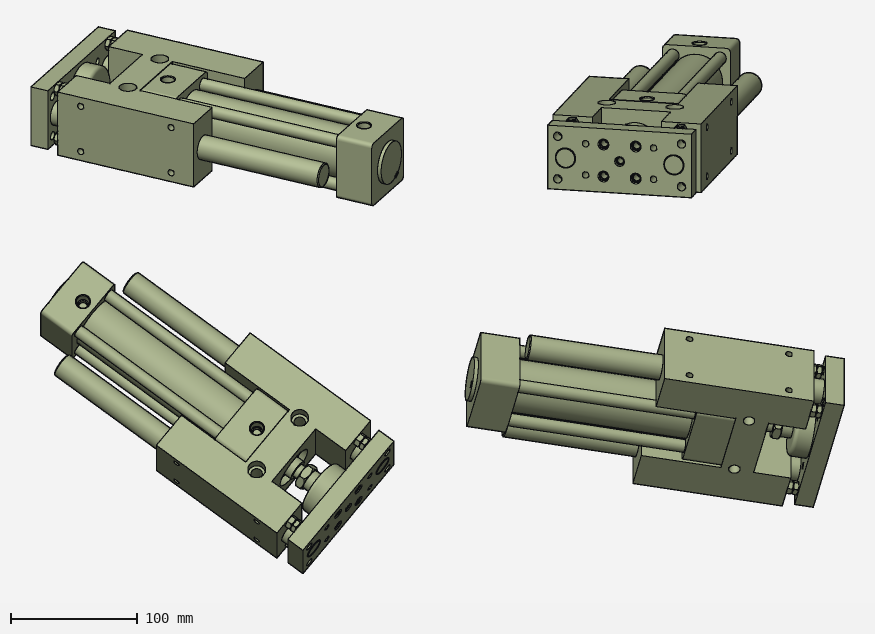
import cadquery as cq
import math


PLATE_THICK = 15.0
PLATE_WIDTH = 116.5
PLATE_HEIGHT = 52.0
CORNER_HOLE_DIA = 6.7
CORNER_HOLE_Y = 50.2
CORNER_HOLE_Z = 17.5
SMALL_HOLE_DIA = 5.2
SMALL_HOLE_Y = 27.5
SMALL_HOLE_Z = 12.8
TAPPED_PITCH = 26.0
TAPPED_DEPTH = 3.5
OUTER_MOUTH_DIA = 8.7
OUTER_THREAD_DIA = 7.0
OUTER_DRILL_DIA = 5.5
CENTRE_MOUTH_DIA = 7.8
CENTRE_THREAD_DIA = 6.0
CENTRE_DRILL_DIA = 5.0
ROD_SEAT_DIA = 16.2
ROD_SEAT_CHAMFER = 0.5

COUPLING_DIA = 45.0
COUPLING_END = 30.0
COUPLING_ROUND = 3.2
ROD_DIA = 17.0
THREAD_DIA = 12.0
LOCKNUT_START = 38.5
LOCKNUT_END = 45.5
LOCKNUT_FLATS = 19.0
ROD_START = 50.8

GUIDE_DIA = 20.0
GUIDE_SPACING = 88.0
GUIDE_Y = GUIDE_SPACING / 2
GUIDE_END = 252.0
GUIDE_CHAMFER = 1.0

BLOCK_START = 24.6
BLOCK_END = 145.0
BLOCK_WIDTH = 120.0
BLOCK_HEIGHT = 56.0
SLOT_WIDTH = 56.0
WEB_START = 54.5
WEB_END = 81.0
NOSE_DIA = 35.0
NOSE_RECESS = 5.8
MOUNT_X = 70.2
MOUNT_PITCH = 55.0
MOUNT_DIA = 9.0
MOUNT_BORE_DIA = 14.0
MOUNT_BORE_DEPTH = 10.2
SIDE_HOLE_DIA = 5.2
SIDE_HOLE_DEPTH = 7.2
SIDE_HOLE_XS = (45.0, 125.0)
SIDE_HOLE_Z = 20.0

STOP_Z = 21.8
STOP_FLATS = 10.0
STOP_START = 15.7
STOP_HEAD_END = 19.7
STOP_NUT_START = 20.0
STOP_NECK_DIA = 6.7

HEAD_SIZE = 55.0
HEAD_LENGTH = 31.3
HEAD_ROUND = 3.5
REAR_HEAD_START = 254.5
TUBE_DIA = 42.3
TIE_ROD_DIA = 10.2
TIE_ROD_OFFSET = 19.0
PORT_INSET = 10.5
PORT_MOUTH_DIA = 12.0
PORT_THREAD_DIA = 10.5
PORT_THREAD_END_DIA = 9.0
PORT_THREAD_DEPTH = 7.2
PORT_DRILL_DIA = 7.0
PORT_DEPTH = 11.5
REAR_BOSS_END = 289.0
TAB_END = 290.0
TAB_LENGTH = 5.2
TAB_WIDTH = 1.2
TAB_RADIUS = 16.5
TAB_ANGLE = -60

CORNER_SIGNS = [(sy, sz) for sy in (-1, 1) for sz in (-1, 1)]


def block(x_start, x_end, width, height):
    """Box centred on the X axis."""
    box = cq.Workplane("XY").box(x_end - x_start, width, height, centered=(False, True, True))
    return box.translate((x_start, 0, 0))


def rod(x_start, x_end, dia, y=0, z=0):
    """Cylinder along X."""
    return cq.Workplane("YZ", origin=(x_start, y, z)).circle(dia / 2).extrude(x_end - x_start)


def threaded_bore(mouth_dia, thread_dia, thread_end_dia, thread_depth, drill_dia, depth):
    """Cutter that runs down from Z = 0: a 45 degree mouth, a thread that may taper, and a drilled core."""
    mouth_depth = (mouth_dia - thread_dia) / 2
    return (
        cq.Workplane("XZ")
        .polyline([
            (0, 0), (mouth_dia / 2, 0), (thread_dia / 2, -mouth_depth),
            (thread_end_dia / 2, -thread_depth), (drill_dia / 2, -thread_depth),
            (drill_dia / 2, -depth), (0, -depth),
        ])
        .close()
        .revolve(360, (0, 0, 0), (0, 1, 0))
    )


def hexagon(x_start, x_end, flats, y=0, z=0, flat_back=False):
    """Hexagonal prism along X with corners at +-Y; its ends are chamfered, the back one unless flat."""
    corner_radius = flats / 2 / math.cos(math.radians(30))
    face_radius = flats / 2
    chamfer = corner_radius - face_radius
    back_radius = corner_radius if flat_back else face_radius
    length = x_end - x_start
    prism = cq.Workplane("YZ", origin=(x_start, y, z)).polygon(6, 2 * corner_radius).extrude(length)
    outline = [(0, 0), (0, face_radius), (chamfer, corner_radius)]
    if not flat_back:
        outline.append((length - chamfer, corner_radius))
    outline += [(length, back_radius), (length, 0)]
    envelope = (
        cq.Workplane("XY", origin=(x_start, y, z))
        .polyline(outline).close().revolve(360, (0, 0, 0), (1, 0, 0))
    )
    return prism.intersect(envelope)


def make_plate():
    """Tool plate with its through holes, five tapped holes and the guide rod ends in its face."""
    plate = block(0, PLATE_THICK, PLATE_WIDTH, PLATE_HEIGHT)
    for sy, sz in CORNER_SIGNS:
        plate = plate.cut(rod(0, PLATE_THICK, CORNER_HOLE_DIA, sy * CORNER_HOLE_Y, sz * CORNER_HOLE_Z))
        plate = plate.cut(rod(0, PLATE_THICK, SMALL_HOLE_DIA, sy * SMALL_HOLE_Y, sz * SMALL_HOLE_Z))
    outer_bore = threaded_bore(
        OUTER_MOUTH_DIA, OUTER_THREAD_DIA, OUTER_THREAD_DIA, TAPPED_DEPTH, OUTER_DRILL_DIA, PLATE_THICK
    ).rotate((0, 0, 0), (0, 1, 0), -90)
    for sy, sz in CORNER_SIGNS:
        plate = plate.cut(outer_bore.translate((0, sy * TAPPED_PITCH / 2, sz * TAPPED_PITCH / 2)))
    centre_bore = threaded_bore(
        CENTRE_MOUTH_DIA, CENTRE_THREAD_DIA, CENTRE_THREAD_DIA, TAPPED_DEPTH, CENTRE_DRILL_DIA, PLATE_THICK
    ).rotate((0, 0, 0), (0, 1, 0), -90)
    plate = plate.cut(centre_bore)
    for y in (-GUIDE_Y, GUIDE_Y):
        seat = rod(0, ROD_SEAT_CHAMFER, ROD_SEAT_DIA, y)
        rod_end = rod(0, PLATE_THICK, ROD_SEAT_DIA, y).faces("<X").chamfer(ROD_SEAT_CHAMFER)
        groove = seat.cut(rod_end)
        plate = plate.cut(groove)
    return plate


def make_slide():
    """Tool plate with its coupling, piston rod and guide rods."""
    slide = make_plate()
    slide = slide.union(rod(PLATE_THICK, COUPLING_END, COUPLING_DIA).faces(">X").edges().fillet(COUPLING_ROUND))
    slide = slide.union(rod(COUPLING_END, LOCKNUT_START, ROD_DIA))
    slide = slide.union(hexagon(LOCKNUT_START, LOCKNUT_END, LOCKNUT_FLATS))
    slide = slide.union(rod(LOCKNUT_END, ROD_START, THREAD_DIA))
    slide = slide.union(rod(ROD_START, WEB_END, ROD_DIA))
    for y in (-GUIDE_Y, GUIDE_Y):
        guide = rod(PLATE_THICK, GUIDE_END, GUIDE_DIA, y).faces(">X").chamfer(GUIDE_CHAMFER)
        slide = slide.union(guide)
    return slide


def make_guide_block():
    """H-shaped block with mounting holes through its web and blind holes in both sides."""
    body = block(BLOCK_START, BLOCK_END, BLOCK_WIDTH, BLOCK_HEIGHT)
    body = body.cut(block(BLOCK_START, WEB_START, SLOT_WIDTH, BLOCK_HEIGHT))
    body = body.cut(block(WEB_END, BLOCK_END, SLOT_WIDTH, BLOCK_HEIGHT))
    body = body.cut(rod(WEB_START, WEB_START + NOSE_RECESS, NOSE_DIA))
    mount_places = [(MOUNT_X, -MOUNT_PITCH / 2), (MOUNT_X, MOUNT_PITCH / 2)]
    body = (
        body.cut(
            cq.Workplane("XY", origin=(0, 0, -BLOCK_HEIGHT / 2))
            .pushPoints(mount_places).circle(MOUNT_DIA / 2).extrude(BLOCK_HEIGHT)
        )
        .cut(
            cq.Workplane("XY", origin=(0, 0, BLOCK_HEIGHT / 2))
            .pushPoints(mount_places).circle(MOUNT_BORE_DIA / 2).extrude(-MOUNT_BORE_DEPTH)
        )
    )
    side_places = [(x, z) for x in SIDE_HOLE_XS for z in (-SIDE_HOLE_Z, SIDE_HOLE_Z)]
    for side in (-1, 1):
        holes = (
            cq.Workplane("XZ", origin=(0, side * BLOCK_WIDTH / 2, 0))
            .pushPoints(side_places).circle(SIDE_HOLE_DIA / 2).extrude(side * SIDE_HOLE_DEPTH)
        )
        body = body.cut(holes)
    return body


def make_stop_screw(y, z):
    """Hexagonal screw head on a short neck, with a hexagonal nut against the block."""
    head = hexagon(STOP_START, STOP_HEAD_END, STOP_FLATS, y, z)
    neck = rod(STOP_HEAD_END, STOP_NUT_START, STOP_NECK_DIA, y, z)
    nut = hexagon(STOP_NUT_START, BLOCK_START, STOP_FLATS, y, z, flat_back=True)
    return head.union(neck).union(nut)


def make_head(x_start):
    """Square cylinder head with a stepped air port in its top."""
    head = block(x_start, x_start + HEAD_LENGTH, HEAD_SIZE, HEAD_SIZE).edges("|X").fillet(HEAD_ROUND)
    port = threaded_bore(
        PORT_MOUTH_DIA, PORT_THREAD_DIA, PORT_THREAD_END_DIA, PORT_THREAD_DEPTH, PORT_DRILL_DIA, PORT_DEPTH
    )
    return head.cut(port.translate((x_start + PORT_INSET, 0, HEAD_SIZE / 2)))


def make_rear_boss():
    """Round boss behind the rear head, with a small raised tab near its rim."""
    boss = rod(REAR_HEAD_START + HEAD_LENGTH, REAR_BOSS_END, NOSE_DIA)
    tab = block(REAR_BOSS_END, TAB_END, TAB_WIDTH, TAB_LENGTH)
    tab = tab.translate((0, TAB_RADIUS, 0)).rotate((0, 0, 0), (1, 0, 0), TAB_ANGLE)
    return boss.union(tab)


def make_cylinder():
    """Air cylinder: two square heads joined by a tube and four tie rods, with a boss at the rear."""
    front_head_end = WEB_END + HEAD_LENGTH
    cylinder = make_head(WEB_END).union(make_head(REAR_HEAD_START))
    cylinder = cylinder.union(rod(front_head_end, REAR_HEAD_START, TUBE_DIA))
    for sy, sz in CORNER_SIGNS:
        tie_rod = rod(front_head_end, REAR_HEAD_START, TIE_ROD_DIA, sy * TIE_ROD_OFFSET, sz * TIE_ROD_OFFSET)
        cylinder = cylinder.union(tie_rod)
    return cylinder.union(make_rear_boss())


def make_housing():
    """Guide block with its stop screws and the air cylinder, bored for the slide's rods."""
    housing = make_guide_block().union(make_cylinder())
    for sy, sz in CORNER_SIGNS:
        housing = housing.union(make_stop_screw(sy * GUIDE_Y, sz * STOP_Z))
    housing = housing.cut(rod(WEB_START, WEB_END, ROD_DIA))
    for y in (-GUIDE_Y, GUIDE_Y):
        housing = housing.cut(rod(BLOCK_START, BLOCK_END, GUIDE_DIA, y))
    return housing


slide = make_slide()
housing = make_housing()
result = cq.Compound.makeCompound([slide.val(), housing.val()])